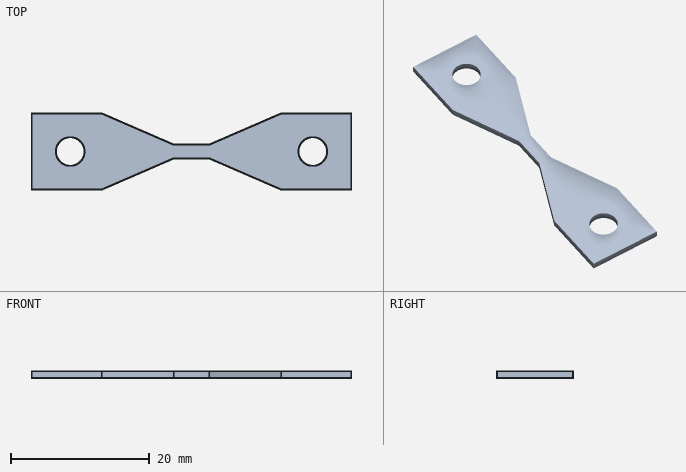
import cadquery as cq

length = 46.1
width = 11.0
thickness = 1.0
tab_length = 10.1
neck_length = 5.15
neck_width = 2.05
hole_diameter = 4.1
hole_spacing = 35.0

end_x = length / 2
shoulder_x = end_x - tab_length
neck_x = neck_length / 2
tab_y = width / 2
neck_y = neck_width / 2

upper_edge = [
    (-end_x, tab_y),
    (-shoulder_x, tab_y),
    (-neck_x, neck_y),
    (neck_x, neck_y),
    (shoulder_x, tab_y),
    (end_x, tab_y),
]
lower_edge = [(x, -y) for x, y in reversed(upper_edge)]

strip = cq.Workplane("XY").polyline(upper_edge + lower_edge).close().extrude(thickness)

hole_centres = [(-hole_spacing / 2, 0), (hole_spacing / 2, 0)]
result = strip.faces(">Z").workplane(origin=(0, 0, thickness)).pushPoints(hole_centres).hole(hole_diameter)